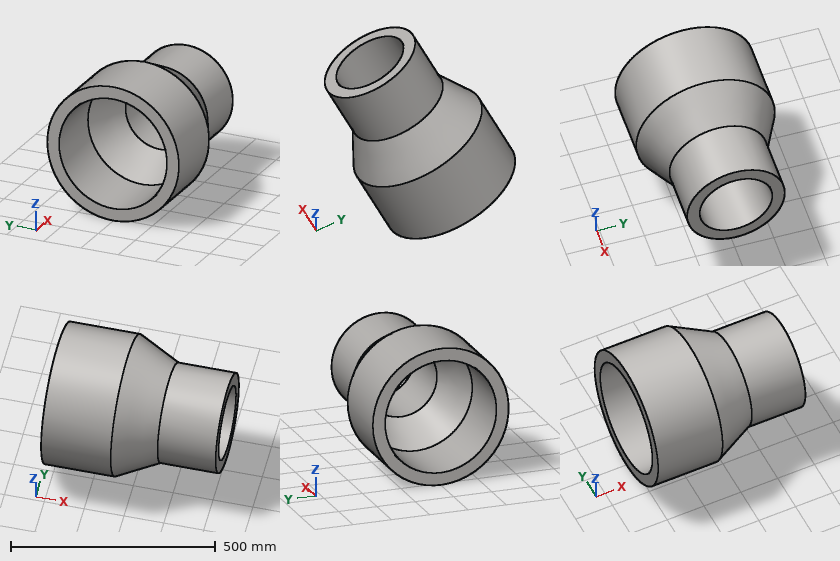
import cadquery as cq

total_length = 426.0
wide_length = 175.0
narrow_length = 145.5
wide_outer_diameter = 355.0
wide_bore_diameter = 290.5
narrow_outer_diameter = 250.0
narrow_bore_diameter = 185.7

bore_taper_offset = 7.5

taper_start = wide_length
taper_end = total_length - narrow_length


def reducer_body(wide_diameter, narrow_diameter, start, end):
    """Solid of revolution: wide cylinder, taper from start to end, narrow cylinder."""
    wide_radius = wide_diameter / 2
    narrow_radius = narrow_diameter / 2
    half_profile = [
        (0, 0),
        (0, wide_radius),
        (start, wide_radius),
        (end, narrow_radius),
        (total_length, narrow_radius),
        (total_length, 0),
    ]
    return cq.Workplane("XY").polyline(half_profile).close().revolve(360, (0, 0, 0), (1, 0, 0))


outside = reducer_body(wide_outer_diameter, narrow_outer_diameter, taper_start, taper_end)
bore = reducer_body(
    wide_bore_diameter,
    narrow_bore_diameter,
    taper_start - bore_taper_offset,
    taper_end - bore_taper_offset,
)
result = outside.cut(bore)